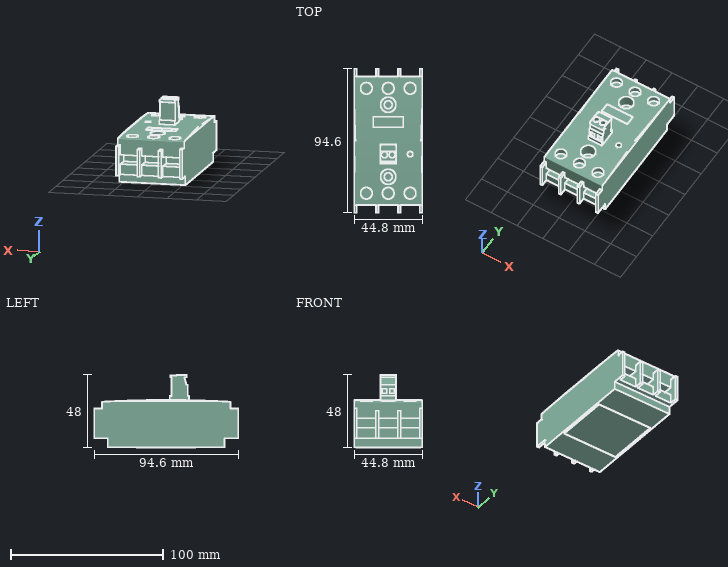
import cadquery as cq

overall_length = 94.6
width = 44.8
overall_height = 48.0
body_length = 84.6
base_length = 76.8
pad_width = 42.0
pad_length = 38.4
pad_height = 0.3
terminal_bottom = 6.2
crown_top = 31.5
crown_end = 30.3
end_radius = 0.6
side_radius = 0.9

pole_pitch = 14.4
partition_thickness = 1.8
inner_partition_top = 24.3
outer_partition_top = 25.9

opening_bottom = 13.1
opening_top = 19.3
opening_depth = 9.5

screw_hole_diameter = 7.7
screw_hole_y = 34.4
screw_hole_floor = 25.7
mount_hole_y = 23.65
mount_hole_diameter = 5.2
mount_bore_diameter = 10.0
mount_bore_floor = 21.5
mount_hole_floor = terminal_bottom
lamp_hole_diameter = 3.6
lamp_hole_y = -8.8
lamp_hole_depth = 4.7
label_width = 20.0
label_length = 6.9
label_y = 12.4
label_floor = 31.1

plug_width = 10.4
plug_root = 29.3
plug_foot_back = -2.2
plug_foot_front = -14.9
plug_foot_top = 34.15
plug_stem_back = -3.4
plug_stem_front = -14.2
plug_shoulder_z = 41.5
plug_shoulder_y = -13.2
plug_neck_y = -12.0
plug_lip_bottom = 46.3
plug_lip_back = -2.6
plug_lip_front = -13.5
plug_step_y = -6.8
plug_back_drop = 0.4
plug_edge_radius = 0.3
contact_pitch = 5.0
wire_slot_width = 3.1
wire_slot_height = 3.2
wire_slot_z = 37.3
wire_slot_depth = 1.9
clamp_hole_diameter = 4.1
clamp_hole_y = -9.2
clamp_hole_depth = 4.7


def block(x_size, y_size, z_bottom, z_top, x=0.0, y=0.0):
    """Box centred on (x, y) between two heights."""
    return (
        cq.Workplane("XY", origin=(x, y, z_bottom))
        .rect(x_size, y_size)
        .extrude(z_top - z_bottom)
    )


def rod(diameter, z_bottom, z_top, x, y):
    """Upright cylinder between two heights."""
    return (
        cq.Workplane("XY", origin=(x, y, z_bottom))
        .circle(diameter / 2)
        .extrude(z_top - z_bottom)
    )


def housing_body():
    """Stepped block with a gently arched cover and rounded long edges."""
    half = body_length / 2
    lengthwise = (
        cq.Workplane("YZ", origin=(-width / 2, 0, 0))
        .moveTo(-half, terminal_bottom)
        .lineTo(half, terminal_bottom)
        .lineTo(half, crown_end)
        .threePointArc((0, crown_top), (-half, crown_end))
        .close()
        .extrude(width)
        .edges("|X and (not <Z)")
        .fillet(end_radius)
    )
    crosswise = block(width, body_length, terminal_bottom, crown_top).edges("|Y and >Z").fillet(side_radius)
    body = lengthwise.intersect(crosswise)
    base = block(width, base_length, pad_height, terminal_bottom)
    pad = block(pad_width, pad_length, 0, pad_height)
    return body.union(base).union(pad)


def add_partitions(body):
    """Full-length fins that stand out at both ends; the outer pair is taller."""
    outer_x = (width - partition_thickness) / 2
    inner_x = pole_pitch / 2
    for x, top in ((outer_x, outer_partition_top), (inner_x, inner_partition_top)):
        for side in (-1, 1):
            fin = block(partition_thickness, overall_length, terminal_bottom, top, x=side * x)
            body = body.union(fin)
    return body


def cut_terminals(body):
    """Wire openings at both ends, with a blind screw hole above each one."""
    inner_edge = (pole_pitch - partition_thickness) / 2
    outer_edge = width / 2 - partition_thickness
    side_bay_start = (pole_pitch + partition_thickness) / 2
    side_bay_x = (side_bay_start + outer_edge) / 2
    side_bay_width = outer_edge - side_bay_start
    bays = ((-side_bay_x, side_bay_width), (0, 2 * inner_edge), (side_bay_x, side_bay_width))
    opening_y = (body_length - opening_depth) / 2
    for end in (-1, 1):
        for x, bay_width in bays:
            opening = block(bay_width, opening_depth, opening_bottom, opening_top, x, end * opening_y)
            body = body.cut(opening)
        for pole in (-1, 0, 1):
            x = pole * pole_pitch
            hole = rod(screw_hole_diameter, screw_hole_floor, crown_top, x, end * screw_hole_y)
            body = body.cut(hole)
    return body


def cut_cover(body):
    """Counterbored mounting holes, lamp hole and label recess."""
    for end in (-1, 1):
        y = end * mount_hole_y
        body = body.cut(rod(mount_hole_diameter, mount_hole_floor, crown_top, 0, y))
        body = body.cut(rod(mount_bore_diameter, mount_bore_floor, crown_top, 0, y))
    body = body.cut(rod(lamp_hole_diameter, crown_top - lamp_hole_depth, crown_top, pole_pitch, lamp_hole_y))
    return body.cut(block(label_width, label_length, label_floor, crown_top, y=label_y))


def control_plug():
    """Two-pole plug with wire slots in front and clamp screw holes on top."""
    plug = (
        cq.Workplane("YZ", origin=(-plug_width / 2, 0, 0))
        .moveTo(plug_foot_back, plug_root)
        .lineTo(plug_foot_back, plug_foot_top)
        .lineTo(plug_stem_back, plug_foot_top)
        .lineTo(plug_stem_back, plug_lip_bottom)
        .lineTo(plug_lip_back, plug_lip_bottom)
        .lineTo(plug_lip_back, overall_height - plug_back_drop)
        .lineTo(plug_step_y, overall_height - plug_back_drop)
        .lineTo(plug_step_y, overall_height)
        .lineTo(plug_lip_front, overall_height)
        .lineTo(plug_lip_front, plug_lip_bottom)
        .lineTo(plug_neck_y, plug_lip_bottom)
        .lineTo(plug_shoulder_y, plug_shoulder_z)
        .lineTo(plug_stem_front, plug_shoulder_z)
        .lineTo(plug_stem_front, plug_foot_top)
        .lineTo(plug_foot_front, plug_foot_top)
        .lineTo(plug_foot_front, plug_root)
        .close()
        .extrude(plug_width)
    )
    rounded_corners = (
        (plug_foot_back, plug_foot_top),
        (plug_foot_front, plug_foot_top),
        (plug_stem_front, plug_shoulder_z),
        (plug_lip_back, plug_lip_bottom),
        (plug_lip_front, plug_lip_bottom),
        (plug_lip_back, overall_height - plug_back_drop),
        (plug_lip_front, overall_height),
        (plug_step_y, overall_height),
    )
    for y, z in rounded_corners:
        plug = plug.edges(cq.selectors.NearestToPointSelector((0, y, z))).fillet(plug_edge_radius)
    for side in (-1, 1):
        x = side * contact_pitch / 2
        slot = block(
            wire_slot_width,
            wire_slot_depth,
            wire_slot_z - wire_slot_height / 2,
            wire_slot_z + wire_slot_height / 2,
            x,
            plug_stem_front + wire_slot_depth / 2,
        )
        hole = rod(clamp_hole_diameter, overall_height - clamp_hole_depth, overall_height, x, clamp_hole_y)
        plug = plug.cut(slot).cut(hole)
    return plug


housing = cut_cover(cut_terminals(add_partitions(housing_body())))
result = housing.union(control_plug())